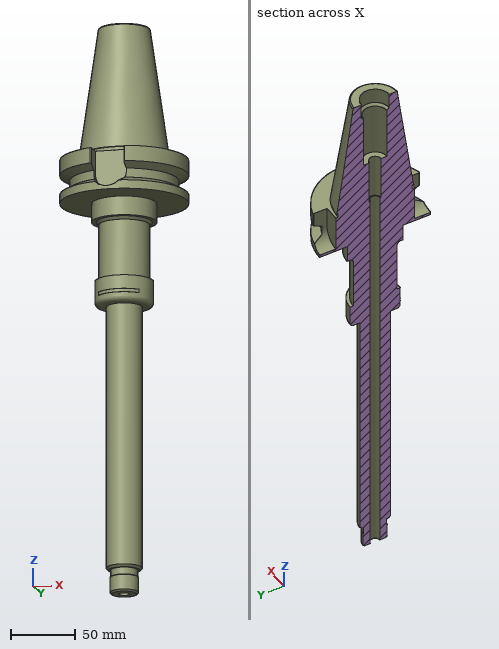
import cadquery as cq
import math

overall_length = 451.5

gauge_diameter = 70.0
taper_length = 102.0
taper_ratio = 7 / 24
taper_edge_chamfer = 1.0
relief_diameter = 67.2

flange_diameter = 100.0
flange_top = -3.0
flange_bottom = -37.5
groove_diameter = 85.0
groove_top = -15.5
groove_bottom = -30.5
groove_flank_height = 4.0

slot_width = 26.0
slot_floor_offset = 35.5
slot_tip = -34.8
slot_edge_chamfer = 1.0

collar_diameter = 50.5
collar_bottom = -52.5
shank_diameter = 39.5
shank_cone_end = -54.5
shank_cone_diameter = 44.0

ring_diameter = 45.5
ring_top = -99.7
ring_bottom = -120.0
ring_edge_radius = 3.5
mark_width = 32.5
mark_top = -110.5
mark_height = 2.5
mark_depth = 0.23

rod_diameter = 28.0
rod_bottom = -330.5
rod_chamfer = 2.0
neck_diameter = 21.0
tip_diameter = 22.0
tip_top = -336.0
tip_chamfer = 1.5

mouth_diameter = 25.0
mouth_depth = 13.5
thread_bore_diameter = 20.8
thread_bore_depth = 62.5
coolant_counterbore_diameter = 10.5
coolant_counterbore_depth = 102.0
coolant_diameter = 8.5

top = taper_length
bottom = top - overall_length


def turned_body():
    """Revolve the outer half-profile about Z."""
    taper_top_radius = (gauge_diameter - taper_ratio * taper_length) / 2
    chamfer_base_radius = taper_top_radius + taper_ratio * taper_edge_chamfer / 2
    flange_radius = flange_diameter / 2
    groove_radius = groove_diameter / 2
    ring_radius = ring_diameter / 2
    rod_radius = rod_diameter / 2
    neck_radius = neck_diameter / 2
    tip_radius = tip_diameter / 2
    arc_inset = ring_edge_radius * (1 - math.sqrt(0.5))
    profile = (
        cq.Workplane("XZ")
        .moveTo(0, top)
        .lineTo(taper_top_radius - taper_edge_chamfer, top)
        .lineTo(chamfer_base_radius, top - taper_edge_chamfer)
        .lineTo(gauge_diameter / 2, 0)
        .lineTo(relief_diameter / 2, 0)
        .lineTo(relief_diameter / 2, flange_top)
        .lineTo(flange_radius, flange_top)
        .lineTo(flange_radius, groove_top)
        .lineTo(groove_radius, groove_top - groove_flank_height)
        .lineTo(groove_radius, groove_bottom + groove_flank_height)
        .lineTo(flange_radius, groove_bottom)
        .lineTo(flange_radius, flange_bottom)
        .lineTo(collar_diameter / 2, flange_bottom)
        .lineTo(collar_diameter / 2, collar_bottom)
        .lineTo(shank_cone_diameter / 2, collar_bottom)
        .lineTo(shank_diameter / 2, shank_cone_end)
        .lineTo(shank_diameter / 2, ring_top)
        .lineTo(ring_radius, ring_top)
        .lineTo(ring_radius, ring_bottom + ring_edge_radius)
        .threePointArc(
            (ring_radius - arc_inset, ring_bottom + arc_inset),
            (ring_radius - ring_edge_radius, ring_bottom),
        )
        .lineTo(rod_radius, ring_bottom)
        .lineTo(rod_radius, rod_bottom + rod_chamfer)
        .lineTo(rod_radius - rod_chamfer, rod_bottom)
        .lineTo(neck_radius, rod_bottom)
        .lineTo(neck_radius, tip_top + tip_radius - neck_radius)
        .lineTo(tip_radius, tip_top)
        .lineTo(tip_radius, bottom + tip_chamfer)
        .lineTo(tip_radius - tip_chamfer, bottom)
        .lineTo(0, bottom)
        .close()
    )
    return profile.revolve(360, (0, 0, 0), (0, 1, 0))


def stepped_bore():
    """Through bore that narrows in steps, with a conical step below the mouth."""
    mouth_radius = mouth_diameter / 2
    thread_radius = thread_bore_diameter / 2
    counterbore_radius = coolant_counterbore_diameter / 2
    coolant_radius = coolant_diameter / 2
    cone_top = top - mouth_depth
    profile = (
        cq.Workplane("XZ")
        .moveTo(0, top)
        .lineTo(mouth_radius, top)
        .lineTo(mouth_radius, cone_top)
        .lineTo(thread_radius, cone_top - (mouth_radius - thread_radius))
        .lineTo(thread_radius, top - thread_bore_depth)
        .lineTo(counterbore_radius, top - thread_bore_depth)
        .lineTo(counterbore_radius, top - coolant_counterbore_depth)
        .lineTo(coolant_radius, top - coolant_counterbore_depth)
        .lineTo(coolant_radius, bottom)
        .lineTo(0, bottom)
        .close()
    )
    return profile.revolve(360, (0, 0, 0), (0, 1, 0))


def drive_slot():
    """Cutter for the -Y slot: straight sides, a round lower end and bevelled side edges."""
    half_width = slot_width / 2
    arc_center = slot_tip + half_width
    slot_depth = flange_diameter / 2 - slot_floor_offset
    slot = (
        cq.Workplane("XZ", origin=(0, -slot_floor_offset, 0))
        .moveTo(-half_width, flange_top)
        .lineTo(-half_width, arc_center)
        .threePointArc((0, slot_tip), (half_width, arc_center))
        .lineTo(half_width, flange_top)
        .close()
        .extrude(slot_depth)
    )
    bevel_half_width = half_width + slot_edge_chamfer
    bevel_bottom = groove_top - groove_flank_height
    rim = -flange_diameter / 2
    rim_at_slot = -math.sqrt(rim**2 - half_width**2)
    bevels = (
        cq.Workplane("XY", origin=(0, 0, bevel_bottom))
        .moveTo(-half_width, rim_at_slot + slot_edge_chamfer)
        .lineTo(half_width, rim_at_slot + slot_edge_chamfer)
        .lineTo(bevel_half_width, rim_at_slot)
        .lineTo(bevel_half_width, rim)
        .lineTo(-bevel_half_width, rim)
        .lineTo(-bevel_half_width, rim_at_slot)
        .close()
        .extrude(flange_top - bevel_bottom)
    )
    return slot.union(bevels)


def ring_mark():
    """Shallow curved band cut into the -Y side of the clamping ring."""
    ring_radius = ring_diameter / 2
    band = (
        cq.Workplane("XY", origin=(0, 0, mark_top - mark_height))
        .circle(ring_radius)
        .circle(ring_radius - mark_depth)
        .extrude(mark_height)
    )
    window = cq.Workplane("XY", origin=(0, -ring_radius / 2, mark_top)).box(
        mark_width, ring_radius, 2 * mark_height
    )
    return band.intersect(window)


result = turned_body().cut(stepped_bore()).cut(ring_mark())
for angle in (0, 180):
    result = result.cut(drive_slot().rotate((0, 0, 0), (0, 0, 1), angle))